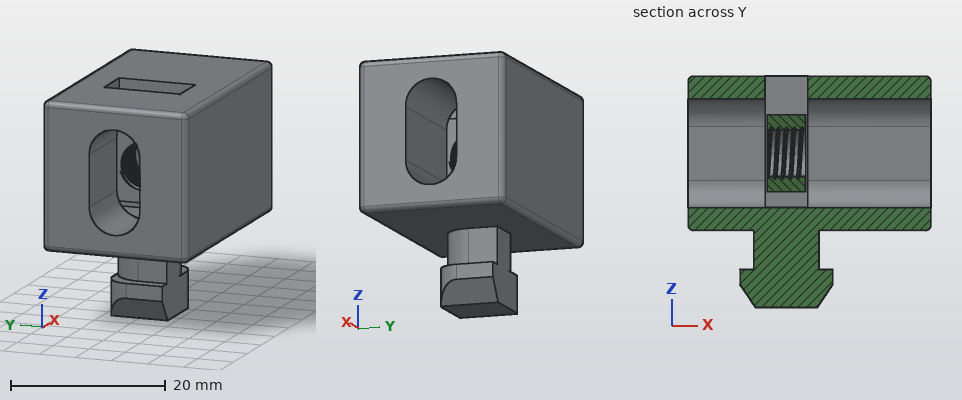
import cadquery as cq
import math

length = 31.5
width = 20.0
height = 20.0
edge_radius = 0.75

slot_width = 7.0
slot_height = 14.02
passage_z = height / 2

nut_thickness = 5.0
nut_side = 10.02
nut_hole_diameter = 6.0
nut_clearance = 0.25
nut_x = 12.75
pocket_length = nut_thickness + 2 * nut_clearance
pocket_width = nut_side + 2 * nut_clearance
pocket_floor = passage_z - slot_height / 2

thread_pitch = 1.0
thread_depth = 0.35
thread_root_width = 0.05
thread_flank_angle = 30
thread_overlap = 0.05

foot_x = nut_x
foot_width = 8.0
stem_length = 8.5
stem_height = 5.0
stem_radius = foot_width / 2
head_length = 12.0
head_height = 4.98
head_radius = 3.0
taper_inset = 2.02
taper_height = 3.0


def turning_block(block_length, block_height, corner_radius, top):
    """Upright block with one diagonal pair of corners rounded so that it can turn in a groove."""
    block = cq.Workplane("XY").box(block_length, foot_width, block_height, centered=(True, True, False))
    block = block.edges("<(1, -1, 0) or >(1, -1, 0)").fillet(corner_radius)
    return block.translate((foot_x, 0, top - block_height))


def tapered_head():
    """Foot head, narrowed towards its underside at both ends."""
    top = -stem_height
    bottom = top - head_height
    half = head_length / 2
    side_profile = (
        cq.Workplane("XZ", origin=(foot_x, 0, 0))
        .moveTo(-half, top)
        .lineTo(half, top)
        .lineTo(half, bottom + taper_height)
        .lineTo(half - taper_inset, bottom)
        .lineTo(-half + taper_inset, bottom)
        .lineTo(-half, bottom + taper_height)
        .close()
        .extrude(foot_width / 2, both=True)
    )
    return turning_block(head_length, head_height, head_radius, top).intersect(side_profile)


def rounded_block():
    """Housing block with all its edges rounded."""
    block = cq.Workplane("XY").box(length, width, height, centered=(False, True, False))
    return block.edges().fillet(edge_radius)


def passage():
    """Slot running the full length of the housing."""
    return (
        cq.Workplane("YZ", origin=(0, 0, passage_z))
        .slot2D(slot_height, slot_width, angle=90)
        .extrude(length)
    )


def nut_pocket():
    """Pocket from the top face down to the lowest line of the passage."""
    return (
        cq.Workplane("XY", origin=(nut_x, 0, pocket_floor))
        .rect(pocket_length, pocket_width)
        .extrude(height - pocket_floor)
    )


def make_housing():
    """Block with its passage and nut pocket, in one piece with the twist-lock foot."""
    stem = turning_block(stem_length, stem_height, stem_radius, 0)
    body = rounded_block().cut(passage()).cut(nut_pocket())
    return body.union(stem).union(tapered_head())


def thread_groove():
    """Helical cutter about X that starts below the hole in the nut's left face."""
    hole_radius = nut_hole_diameter / 2
    inner_radius = hole_radius - thread_overlap
    outer_radius = hole_radius + thread_depth
    root_half = thread_root_width / 2
    mouth_half = root_half + (outer_radius - inner_radius) * math.tan(math.radians(thread_flank_angle))
    helix = cq.Wire.makeHelix(thread_pitch, nut_thickness, hole_radius)
    groove = (
        cq.Workplane("XZ")
        .moveTo(inner_radius, -mouth_half)
        .lineTo(outer_radius, -root_half)
        .lineTo(outer_radius, root_half)
        .lineTo(inner_radius, mouth_half)
        .close()
        .sweep(cq.Workplane(helix), isFrenet=True)
    )
    groove = groove.rotate((0, 0, 0), (0, 1, 0), 90)
    return groove.translate((nut_x - nut_thickness / 2, 0, passage_z))


def make_nut():
    """Square nut centred in the pocket, its threaded hole in line with the passage."""
    blank = (
        cq.Workplane("YZ", origin=(nut_x - nut_thickness / 2, 0, passage_z))
        .rect(nut_side, nut_side)
        .circle(nut_hole_diameter / 2)
        .extrude(nut_thickness)
    )
    return blank.cut(thread_groove())


housing = make_housing()
nut = make_nut()
result = cq.Compound.makeCompound([*housing.solids().vals(), *nut.solids().vals()])